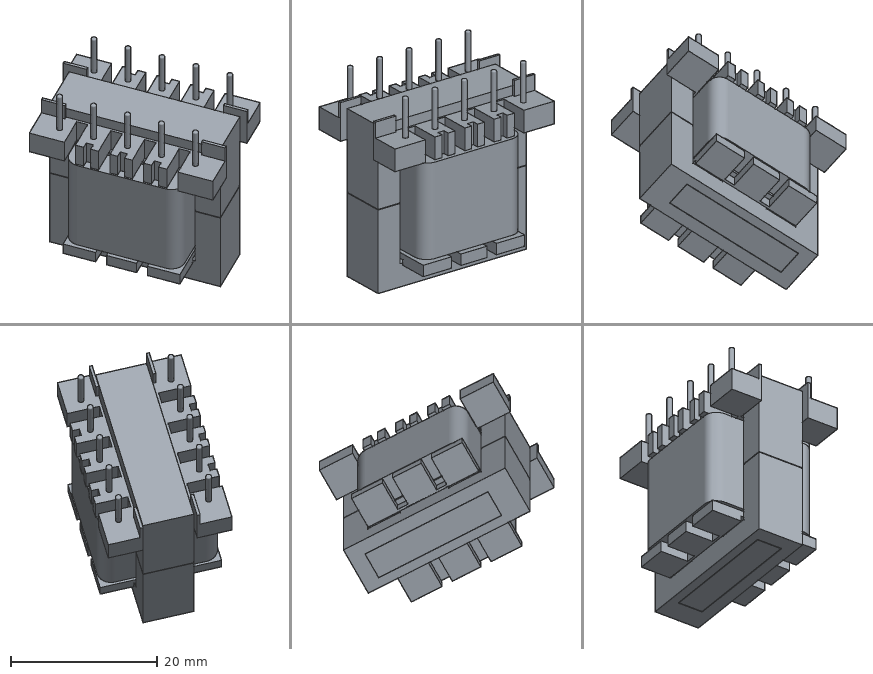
import cadquery as cq


total_height = 29.9

core_width = 25.12
core_depth = 7.18
core_top = 25.2
core_yoke = 3.5
core_window_width = 17.65
centre_leg_width = 7.5
core_gap = 0.1

panel_thickness = 0.1
panel_left, panel_right = -8.85, 10.23
panel_front, panel_back = -2.25, 1.67

rail_length = 27.0
overall_depth = 17.5
rail_outer_y = overall_depth / 2
rail_inner_y = 3.83
rail_bottom, rail_top = 20.45, 23.85
wire_slot_root_y = 4.2
rail_slots = [(1.65, 3.32), (6.73, 8.35)]
notch_width = 1.02
notch_root_y = 7.77

tab_inner_x = 10.05
tab_thickness = 0.42
tab_top = 26.25

lower_flange_size = 17.15
lower_flange_bottom, lower_flange_top = 3.38, 5.08
lower_slots = [(2.2, 3.8)]
web_thickness = 0.9
tube_size = 9.9
tube_hole_width = 7.65
tube_hole_depth = 7.35

winding_size = 16.98
winding_corner_radius = 1.97
winding_bottom, winding_top = 5.53, 19.97

pin_diameter = 0.8
pin_tip_radius = 0.2
pin_pitch = 5.0
pins_per_rail = 5
pin_row_y = 6.37

core_bottom = panel_thickness
core_middle = (core_bottom + core_top) / 2
half_core_height = (core_top - core_bottom - core_gap) / 2
sides = (-1, 1)


def block(x_range, y_range, z_range):
    """Box that spans the given X, Y and Z ranges; either end may come first."""
    low = [min(ends) for ends in (x_range, y_range, z_range)]
    size = [abs(ends[1] - ends[0]) for ends in (x_range, y_range, z_range)]
    return cq.Workplane("XY").box(*size, centered=False).translate(tuple(low))


def centred_block(width, depth, bottom, top):
    """Box centred on the Z axis."""
    return block((-width / 2, width / 2), (-depth / 2, depth / 2), (bottom, top))


def make_e_half():
    """E-shaped core half with its yoke at the bottom and its legs pointing up."""
    half = centred_block(core_width, core_depth, core_bottom, core_bottom + half_core_height)
    window_bottom = core_bottom + core_yoke
    for side in sides:
        window_x = (side * centre_leg_width / 2, side * core_window_width / 2)
        window_y = (-core_depth / 2, core_depth / 2)
        half = half.cut(block(window_x, window_y, (window_bottom, core_middle)))
    return half


def make_lower_core():
    panel = block((panel_left, panel_right), (panel_front, panel_back), (0, core_bottom))
    return make_e_half().union(panel)


def make_upper_core():
    return make_e_half().mirror("XY", (0, 0, core_middle))


def cut_wire_slots(rail, y_side, slot_ranges, outer_y, z_range):
    """Cut slots for the wires, open to the outside, on both X halves of a rail."""
    for x_side in sides:
        for start, end in slot_ranges:
            slot_x = (x_side * start, x_side * end)
            slot_y = (y_side * wire_slot_root_y, y_side * outer_y)
            rail = rail.cut(block(slot_x, slot_y, z_range))
    return rail


def make_pin_rail(y_side):
    """Upper rail with wire slots, a notch in front of each inner pin and two end tabs."""
    z_range = (rail_bottom, rail_top)
    rail_y = (y_side * rail_inner_y, y_side * rail_outer_y)
    rail = block((-rail_length / 2, rail_length / 2), rail_y, z_range)
    rail = cut_wire_slots(rail, y_side, rail_slots, rail_outer_y, z_range)

    notch_y = (y_side * notch_root_y, y_side * rail_outer_y)
    for notch_x in (-pin_pitch, 0, pin_pitch):
        notch_range = (notch_x - notch_width / 2, notch_x + notch_width / 2)
        rail = rail.cut(block(notch_range, notch_y, z_range))

    tab_y = (y_side * rail_inner_y, y_side * (rail_inner_y + tab_thickness))
    for x_side in sides:
        tab_x = (x_side * tab_inner_x, x_side * rail_length / 2)
        rail = rail.union(block(tab_x, tab_y, (rail_bottom, tab_top)))
    return rail


def make_lower_rail(y_side):
    z_range = (lower_flange_bottom, lower_flange_top)
    outer_y = lower_flange_size / 2
    rail_y = (y_side * rail_inner_y, y_side * outer_y)
    rail = block((-outer_y, outer_y), rail_y, z_range)
    return cut_wire_slots(rail, y_side, lower_slots, outer_y, z_range)


def make_winding():
    winding = centred_block(winding_size, winding_size, winding_bottom, winding_top)
    return winding.edges("|Z").fillet(winding_corner_radius)


def make_pins():
    """Two rows of round pins standing on the rails, rounded at the tip."""
    return (
        cq.Workplane("XY")
        .workplane(offset=rail_top)
        .rarray(pin_pitch, 2 * pin_row_y, pins_per_rail, len(sides))
        .circle(pin_diameter / 2)
        .extrude(total_height - rail_top)
        .faces(">Z")
        .edges()
        .fillet(pin_tip_radius)
    )


def make_bobbin():
    """Bobbin with its winding and pins, bored for the centre legs of the core."""
    web_bottom = lower_flange_top - web_thickness
    web_top = rail_bottom + web_thickness
    bobbin = centred_block(tube_size, tube_size, lower_flange_top, rail_bottom)
    bobbin = bobbin.union(make_winding())
    web_depth = 2 * rail_inner_y
    bobbin = bobbin.union(centred_block(lower_flange_size, web_depth, web_bottom, lower_flange_top))
    bobbin = bobbin.union(centred_block(lower_flange_size, web_depth, rail_bottom, web_top))
    for y_side in sides:
        bobbin = bobbin.union(make_lower_rail(y_side))
        bobbin = bobbin.union(make_pin_rail(y_side))
    bobbin = bobbin.union(make_pins())
    return bobbin.cut(centred_block(tube_hole_width, tube_hole_depth, web_bottom, web_top))


lower_core = make_lower_core()
upper_core = make_upper_core()
bobbin = make_bobbin()

result = cq.Compound.makeCompound([lower_core.val(), upper_core.val(), bobbin.val()])